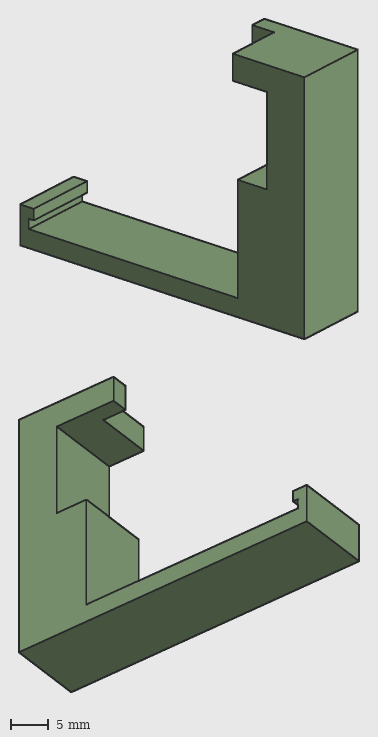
import cadquery as cq

length = 48.5
width = 11.45
height = 38.35

base_thickness = 2.8
lip_wall = 1.5
lip_reach = 2.35
lip_underside = 4.3
lip_top = 6.0

block_start = 37.1
block_top = 20.15
post_start = 42.1

arm_thickness = 4.0
arm_start = 36.3
finger_start = 32.55
finger_width = 2.6

arm_underside = height - arm_thickness

profile = [
    (0, 0),
    (length, 0),
    (length, height),
    (finger_start, height),
    (finger_start, arm_underside),
    (post_start, arm_underside),
    (post_start, block_top),
    (block_start, block_top),
    (block_start, base_thickness),
    (lip_wall, base_thickness),
    (lip_wall, lip_underside),
    (lip_reach, lip_underside),
    (lip_reach, lip_top),
    (0, lip_top),
]
body = cq.Workplane("XZ").polyline(profile).close().extrude(-width)

notch = cq.Workplane("XY").box(
    arm_start - finger_start,
    width - finger_width,
    arm_thickness,
    centered=False,
).translate((finger_start, 0, arm_underside))

result = body.cut(notch)